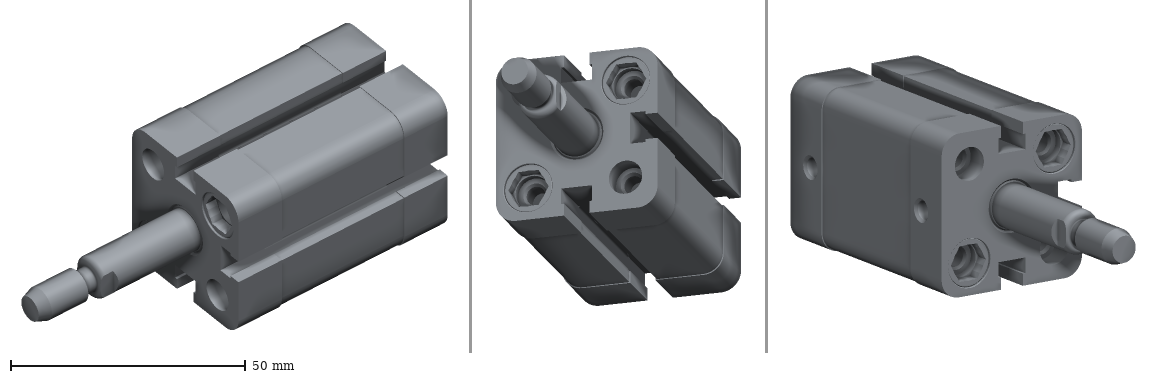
import cadquery as cq
import math


cap_size = 36.3
cap_length = 11.9
barrel_size = 35.9
rod_reach = 42.4
body_length = 99.6 - rod_reach
barrel_length = body_length - 2 * cap_length
corner_radius = 4.5

slot_angles = (0, 90, 180)
slot_floor = 12.0
slot_inner_width = 7.0
slot_lip = 2.7
cap_slot_mouth = 5.7
barrel_slot_mouth = 6.2
slot_floor_fillet = 0.5

screw_offset = 11.0
thread_diameter = 4.2
thread_depth = 10.0

head_mouth = 11.1
head_diameter = 10.9
head_top = 10.5
head_recess = 0.4
socket_flats = 7.9
socket_relief = 8.1
hex_depth = 2.8
socket_bore = 7.6
socket_depth = 5.0
socket_thread_mouth = 5.3

counterbore_diameter = 7.5
counterbore_depth = socket_depth
counterbore_thread_mouth = 5.4

port_diameter = 4.2
port_mouth = 5.4
port_window = 1.3
front_port_y = 7.8
rear_port_y = body_length - 7.6

rod_diameter = 10.0
rod_end_y = rear_port_y + 1.5
shoulder_y = -26.4
shoulder_fillet = 1.3
neck_diameter = 5.8
neck_fillet = 0.3
neck_end_y = shoulder_y - 2.5
stud_diameter = 8.0
stud_start_y = neck_end_y - 0.8
stud_taper_y = -39.6
stud_tip_diameter = 6.0
flats_width = 8.0
flats_length = 3.4
flats_run_out = 0.8

chamber_diameter = 10.5
chamber_start = 2.0
seal_mouth = 12.0
seal_diameter = 11.1
seal_top = 10.5
seal_recess = 0.2


def cylinder_y(diameter, start, end, x=0, z=0):
    """Cylinder along Y from start up to end."""
    return cq.Workplane("XZ", origin=(x, start, z)).circle(diameter / 2).extrude(start - end)


def cone_y(start_diameter, end_diameter, start, end, x=0, z=0):
    """Cone frustum along Y from start up to end."""
    profile = [(0, start), (start_diameter / 2, start), (end_diameter / 2, end), (0, end)]
    cone = cq.Workplane("XY").polyline(profile).close().revolve(360, (0, 0, 0), (0, 1, 0))
    return cone.translate((x, 0, z))


def bevel_hole(mouth, bore, start, x=0, z=0):
    """45 degree countersink from the mouth diameter down to the bore."""
    return cone_y(mouth, bore, start, start + (mouth - bore) / 2, x, z)


def land_recess(mouth, diameter, top, depth, x=0, z=0):
    """Countersunk recess that leaves a round land with a 45 degree chamfer in its middle."""
    chamfer_end = depth + (diameter - top) / 2
    land = cone_y(top, diameter, depth, chamfer_end, x, z)
    pocket = cylinder_y(diameter, 0, chamfer_end, x, z)
    return pocket.union(bevel_hole(mouth, diameter, 0, x, z)).cut(land)


def slot(size, mouth, start, end, floor_fillet=0):
    """T-shaped sensor slot in the +Z side of a square of the given size."""
    top = size / 2
    lip_bottom = top - slot_lip
    length = end - start
    neck = cq.Workplane("XY").box(mouth, length, top - slot_floor, (True, False, False))
    channel = cq.Workplane("XY").box(
        slot_inner_width, length, lip_bottom - slot_floor, (True, False, False)
    )
    if floor_fillet:
        channel = channel.edges("|Y and <Z").fillet(floor_fillet)
    return channel.union(neck).translate((0, start, slot_floor))


def slotted_block(size, mouth, start, end, floor_fillet=0):
    """Square block with rounded edges and a slot in three of its sides."""
    block = cq.Workplane("XZ", origin=(0, start, 0)).rect(size, size).extrude(start - end)
    block = block.edges("|Y").fillet(corner_radius)
    cutter = slot(size, mouth, start, end, floor_fillet)
    for angle in slot_angles:
        block = block.cut(cutter.rotate((0, 0, 0), (0, 1, 0), angle))
    return block


def air_port(y):
    """Flat-bottomed port from the -X side that breaks into the chamber around the rod."""
    face = -cap_size / 2
    bottom = -math.sqrt((chamber_diameter / 2) ** 2 - port_window**2)
    bevel = (port_mouth - port_diameter) / 2
    drill = cq.Workplane("YZ", origin=(face, y, 0)).circle(port_diameter / 2).extrude(bottom - face)
    countersink = (
        cq.Workplane("YZ", origin=(face, y, 0))
        .circle(port_mouth / 2)
        .workplane(offset=bevel)
        .circle(port_diameter / 2)
        .loft()
    )
    return drill.union(countersink)


def socket_screw_cut(x, z):
    """Recess that leaves a chamfered screw head with a hexagon socket and a threaded hole."""
    hex_end = head_recess + hex_depth
    recess = land_recess(head_mouth, head_diameter, head_top, head_recess, x, z)
    hexagon = (
        cq.Workplane("XZ", origin=(x, 0, z))
        .polygon(6, socket_flats / math.cos(math.pi / 6))
        .extrude(-hex_end)
    )
    relief = cylinder_y(socket_relief, 0, hex_end, x, z)
    bore = cylinder_y(socket_bore, 0, socket_depth, x, z)
    thread = cylinder_y(thread_diameter, 0, thread_depth, x, z)
    bevel = bevel_hole(socket_thread_mouth, thread_diameter, socket_depth, x, z)
    return recess.union(hexagon).union(relief).union(bore).union(thread).union(bevel)


def counterbore_cut(x, z):
    """Counterbored threaded hole."""
    bore = cylinder_y(counterbore_diameter, 0, counterbore_depth, x, z)
    thread = cylinder_y(thread_diameter, 0, thread_depth, x, z)
    bevel = bevel_hole(counterbore_thread_mouth, thread_diameter, counterbore_depth, x, z)
    return bore.union(thread).union(bevel)


def make_front_cap():
    cap = slotted_block(cap_size, cap_slot_mouth, 0, cap_length)
    cap = cap.cut(cylinder_y(rod_diameter, 0, chamber_start))
    cap = cap.cut(cylinder_y(chamber_diameter, chamber_start, cap_length))
    cap = cap.cut(land_recess(seal_mouth, seal_diameter, seal_top, seal_recess))
    for side in (-1, 1):
        cap = cap.cut(socket_screw_cut(side * screw_offset, side * screw_offset))
        cap = cap.cut(counterbore_cut(side * screw_offset, -side * screw_offset))
    return cap.cut(air_port(front_port_y))


def make_barrel():
    start = cap_length
    end = cap_length + barrel_length
    barrel = slotted_block(barrel_size, barrel_slot_mouth, start, end, slot_floor_fillet)
    return barrel.cut(cylinder_y(rod_diameter, start, end))


def make_rear_cap():
    start = body_length - cap_length
    cap = slotted_block(cap_size, cap_slot_mouth, start, body_length)
    cap = cap.cut(cylinder_y(chamber_diameter, start, rod_end_y))
    return cap.cut(air_port(rear_port_y))


def make_stud():
    """Tapered stud and the neck that joins it to the rod shoulder."""
    profile = [
        (0, -rod_reach),
        (stud_tip_diameter / 2, -rod_reach),
        (stud_diameter / 2, stud_taper_y),
        (stud_diameter / 2, stud_start_y),
        (neck_diameter / 2, neck_end_y),
        (neck_diameter / 2, shoulder_y),
        (0, shoulder_y),
    ]
    return cq.Workplane("XY").polyline(profile).close().revolve(360, (0, 0, 0), (0, 1, 0))


def flat_cut():
    """Wrench flat on the +X side of the rod with a sloping run-out."""
    flats_end = shoulder_y + flats_length
    outline = [
        (flats_width / 2, shoulder_y),
        (flats_width / 2, flats_end),
        (rod_diameter / 2, flats_end + flats_run_out),
        (rod_diameter / 2, shoulder_y),
    ]
    return cq.Workplane("XY").polyline(outline).close().extrude(rod_diameter / 2, both=True)


def make_rod():
    rod = cylinder_y(rod_diameter, shoulder_y, rod_end_y).union(make_stud())
    rod = rod.edges(cq.selectors.RadiusNthSelector(0)).fillet(neck_fillet)
    rod = rod.edges(cq.selectors.RadiusNthSelector(-1)).edges("<Y").fillet(shoulder_fillet)
    flat = flat_cut()
    return rod.cut(flat).cut(flat.mirror("YZ"))


front_cap = make_front_cap()
barrel = make_barrel()
rear_cap = make_rear_cap()
rod = make_rod()

result = cq.Compound.makeCompound([front_cap.val(), barrel.val(), rear_cap.val(), rod.val()])